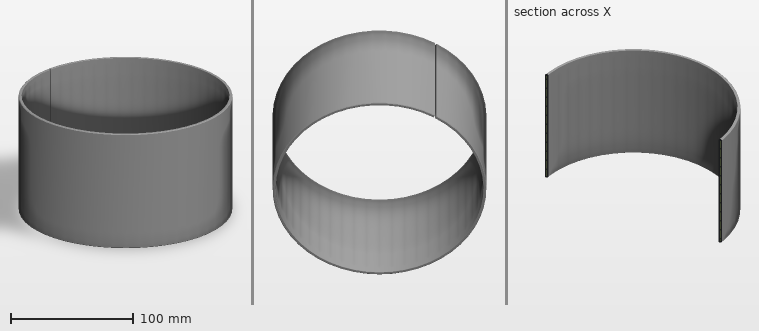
import cadquery as cq

outer_diameter = 175.0
wall_thickness = 2.5
length = 100.0
gap_angle = 1.0
outer_chamfer = 0.5
inner_chamfer = 0.2

outer_radius = outer_diameter / 2
inner_radius = outer_radius - wall_thickness
half_length = length / 2


def wall_section():
    """Wall profile on the -X side, with all four end corners chamfered."""
    return (
        cq.Workplane("XZ")
        .moveTo(-inner_radius, half_length - inner_chamfer)
        .lineTo(-inner_radius - inner_chamfer, half_length)
        .lineTo(-outer_radius + outer_chamfer, half_length)
        .lineTo(-outer_radius, half_length - outer_chamfer)
        .lineTo(-outer_radius, -half_length + outer_chamfer)
        .lineTo(-outer_radius + outer_chamfer, -half_length)
        .lineTo(-inner_radius - inner_chamfer, -half_length)
        .lineTo(-inner_radius, -half_length + inner_chamfer)
        .close()
    )


def split_sleeve():
    """Sweep the wall counterclockwise from -X, stopping short by the gap angle."""
    return wall_section().revolve(360 - gap_angle, (0, 0), (0, 1))


result = split_sleeve()